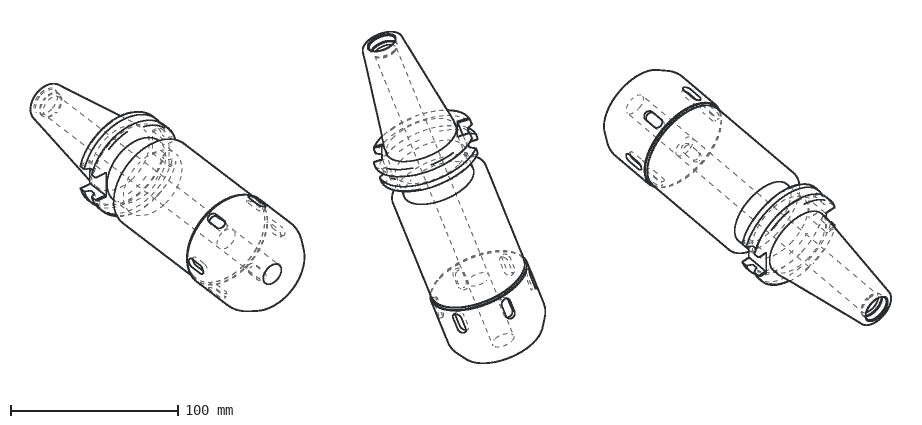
import cadquery as cq
import math

LENGTH = 218.3

TAPER_RATIO = 7 / 24
TAPER_END = 67.7
SHANK_RADIUS = 44.5 / 2
TIP_FILLET = 2.0

FLANGE_START = 71.4
FLANGE_END = 87.3
FLANGE_RADIUS = 63.3 / 2
FLANGE_FILLET = 1.0
GROOVE_CENTER = 79.5
GROOVE_FLOOR_WIDTH = 3.3
GROOVE_FLOOR_RADIUS = 56.5 / 2
GROOVE_FILLET = 0.7
GROOVE_FLANK_ANGLE = 30.0

DRIVE_SLOT_HEIGHT = 16.5
NEAR_SLOT_FLOOR = 23.0
FAR_SLOT_FLOOR = 24.9
DRIVE_SLOT_CHAMFER = 0.7

BODY_START = 102.8
BODY_END = 173.5
BODY_RADIUS = 60.0 / 2
BODY_REAR_FILLET = 1.0
BODY_FRONT_FILLET = 1.3

BORE_RADIUS = 13.8 / 2
ENTRY_RADIUS = 16.5 / 2
ENTRY_DEPTH = 4.4
STEP_RADIUS = 16.4 / 2
STEP_DEPTH = 5.0
ENTRY_CHAMFER = 0.7
ENTRY_CONE_ANGLE = 45.0

NUT_RADIUS = 62.0 / 2
COLLAR_RADIUS = 61.0 / 2
COLLAR_CHAMFER = 0.9
COLLAR_END = 175.0
REAR_EDGE_FILLET = NUT_RADIUS - COLLAR_RADIUS
NOSE_START = 205.4
NOSE_ANGLE = 30.0
NOSE_SHOULDER_RADIUS = 9.2
NOSE_TIP_RADIUS = 3.7

SPANNER_SLOT_COUNT = 6
SPANNER_SLOT_LENGTH = 13.8
SPANNER_SLOT_WIDTH = 6.1
SPANNER_SLOT_CENTER = 184.0
SPANNER_SLOT_DEPTH = 3.0


def revolve_about_x(profile):
    """Turn a closed outline of (x, radius) points about the X axis."""
    return profile.close().revolve(360, (0, 0, 0), (1, 0, 0))


def make_cylinder(radius, start, end):
    """Solid cylinder on the X axis."""
    return cq.Workplane("YZ").workplane(offset=start).circle(radius).extrude(end - start)


def make_shank():
    """Taper with a rounded tip, running on as a plain cylinder to the body."""
    tip_radius = SHANK_RADIUS - TAPER_END * TAPER_RATIO / 2
    profile = (
        cq.Workplane("XY")
        .lineTo(0, tip_radius)
        .lineTo(TAPER_END, SHANK_RADIUS)
        .lineTo(BODY_START, SHANK_RADIUS)
        .lineTo(BODY_START, 0)
    )
    return revolve_about_x(profile).faces("<X").edges().fillet(TIP_FILLET)


def make_flange():
    """Flange with rounded rims, a V groove and two drive slots."""
    flange = make_cylinder(FLANGE_RADIUS, FLANGE_START, FLANGE_END)
    flange = flange.faces("<X or >X").edges().fillet(FLANGE_FILLET)
    return flange.cut(make_v_groove()).cut(make_drive_slots())


def make_v_groove():
    """Ring that cuts the V groove around the flange."""
    depth = FLANGE_RADIUS - GROOVE_FLOOR_RADIUS
    half_floor = GROOVE_FLOOR_WIDTH / 2
    half_mouth = half_floor + depth * math.tan(math.radians(GROOVE_FLANK_ANGLE))
    profile = (
        cq.Workplane("XY")
        .moveTo(GROOVE_CENTER - half_floor, GROOVE_FLOOR_RADIUS)
        .lineTo(GROOVE_CENTER - half_mouth, FLANGE_RADIUS)
        .lineTo(GROOVE_CENTER + half_mouth, FLANGE_RADIUS)
        .lineTo(GROOVE_CENTER + half_floor, GROOVE_FLOOR_RADIUS)
    )
    floor_edges = cq.selectors.RadiusNthSelector(0)
    return revolve_about_x(profile).edges(floor_edges).fillet(GROOVE_FILLET)


def make_drive_slots():
    """Two flat-bottomed slots through the flange that flare out at both flange faces."""
    half_height = DRIVE_SLOT_HEIGHT / 2
    half_mouth = half_height + DRIVE_SLOT_CHAMFER
    half_outline = [
        (FLANGE_START, half_mouth),
        (FLANGE_START + DRIVE_SLOT_CHAMFER, half_height),
        (FLANGE_END - DRIVE_SLOT_CHAMFER, half_height),
        (FLANGE_END, half_mouth),
    ]
    outline = half_outline + [(x, -z) for x, z in reversed(half_outline)]
    near_slot = (
        cq.Workplane("XZ", origin=(0, -NEAR_SLOT_FLOOR, 0))
        .polyline(outline).close()
        .extrude(FLANGE_RADIUS - NEAR_SLOT_FLOOR)
    )
    far_slot = (
        cq.Workplane("XZ", origin=(0, FAR_SLOT_FLOOR, 0))
        .polyline(outline).close()
        .extrude(FAR_SLOT_FLOOR - FLANGE_RADIUS)
    )
    return near_slot.add(far_slot).combine()


def make_body():
    """Large cylinder, rounded at both ends."""
    body = make_cylinder(BODY_RADIUS, BODY_START, BODY_END)
    return body.faces("<X").edges().fillet(BODY_REAR_FILLET).faces(">X").edges().fillet(BODY_FRONT_FILLET)


def make_bore():
    """Through bore with a chamfered, slightly stepped entry that narrows through a cone."""
    cone_length = (STEP_RADIUS - BORE_RADIUS) / math.tan(math.radians(ENTRY_CONE_ANGLE))
    profile = (
        cq.Workplane("XY")
        .lineTo(0, ENTRY_RADIUS + ENTRY_CHAMFER)
        .lineTo(ENTRY_CHAMFER, ENTRY_RADIUS)
        .lineTo(ENTRY_DEPTH, ENTRY_RADIUS)
        .lineTo(ENTRY_DEPTH, STEP_RADIUS)
        .lineTo(STEP_DEPTH, STEP_RADIUS)
        .lineTo(STEP_DEPTH + cone_length, BORE_RADIUS)
        .lineTo(LENGTH, BORE_RADIUS)
        .lineTo(LENGTH, 0)
    )
    return revolve_about_x(profile)


def make_nut_blank():
    """Nut outline: chamfered collar, round-edged cylinder, rounded shoulder, cone and rounded face edge."""
    angle = math.radians(NOSE_ANGLE)
    shoulder_end_x = NOSE_START + NOSE_SHOULDER_RADIUS * math.sin(angle)
    shoulder_end_radius = NUT_RADIUS - NOSE_SHOULDER_RADIUS * (1 - math.cos(angle))
    tip_start_x = LENGTH - NOSE_TIP_RADIUS * (1 - math.sin(angle))
    tip_start_radius = shoulder_end_radius - (tip_start_x - shoulder_end_x) * math.tan(angle)
    face_radius = tip_start_radius - NOSE_TIP_RADIUS * math.cos(angle)

    rear_mid = (
        COLLAR_END + REAR_EDGE_FILLET * (1 - math.sqrt(0.5)),
        COLLAR_RADIUS + REAR_EDGE_FILLET * math.sqrt(0.5),
    )
    shoulder_mid = (
        NOSE_START + NOSE_SHOULDER_RADIUS * math.sin(angle / 2),
        NUT_RADIUS - NOSE_SHOULDER_RADIUS * (1 - math.cos(angle / 2)),
    )
    tip_mid_angle = (angle + math.pi / 2) / 2
    tip_mid = (
        LENGTH - NOSE_TIP_RADIUS * (1 - math.sin(tip_mid_angle)),
        face_radius + NOSE_TIP_RADIUS * math.cos(tip_mid_angle),
    )
    profile = (
        cq.Workplane("XY")
        .moveTo(BODY_END, 0)
        .lineTo(BODY_END, COLLAR_RADIUS - COLLAR_CHAMFER)
        .lineTo(BODY_END + COLLAR_CHAMFER, COLLAR_RADIUS)
        .lineTo(COLLAR_END, COLLAR_RADIUS)
        .threePointArc(rear_mid, (COLLAR_END + REAR_EDGE_FILLET, NUT_RADIUS))
        .lineTo(NOSE_START, NUT_RADIUS)
        .threePointArc(shoulder_mid, (shoulder_end_x, shoulder_end_radius))
        .lineTo(tip_start_x, tip_start_radius)
        .threePointArc(tip_mid, (LENGTH, face_radius))
        .lineTo(LENGTH, 0)
    )
    return revolve_about_x(profile)


def make_spanner_slot(angle):
    """Round-ended slot cutter, turned about X by an angle from the +Y side."""
    slot = (
        cq.Workplane("XZ", origin=(SPANNER_SLOT_CENTER, NUT_RADIUS, 0))
        .slot2D(SPANNER_SLOT_LENGTH, SPANNER_SLOT_WIDTH)
        .extrude(SPANNER_SLOT_DEPTH)
    )
    return slot.rotate((0, 0, 0), (1, 0, 0), angle)


def make_holder():
    """Tool holder: shank, flange and body in one piece."""
    holder = make_shank().union(make_flange()).union(make_body())
    return holder.cut(make_bore())


def make_nut():
    """Clamping nut with spanner slots spaced evenly around it."""
    nut = make_nut_blank().cut(make_bore())
    for index in range(SPANNER_SLOT_COUNT):
        nut = nut.cut(make_spanner_slot(index * 360 / SPANNER_SLOT_COUNT))
    return nut


holder = make_holder()
nut = make_nut()
result = cq.Compound.makeCompound([holder.val(), nut.val()])